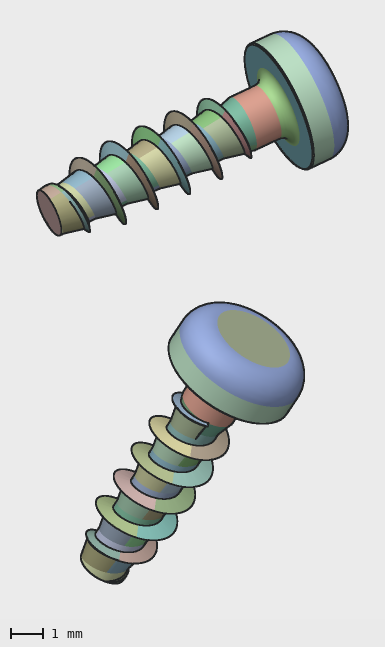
import cadquery as cq
import math

length = 9.6

head_radius = 2.1
head_height = 1.59
dome_radius = 0.84
head_edge_chamfer = 0.04
shank_radius = 0.89
neck_fillet = 0.4
shank_end = 2.86

core_radius = 0.72
shank_taper_length = 0.58

pitch = 1.12
lead_in_turns = 1.0
full_turns = 3.5
run_out_turns = 1.5
total_turns = lead_in_turns + full_turns + run_out_turns
points_per_turn = 16
section_turns = 0.5
start_crest_radius = 1.02
full_crest_radius = 1.26
end_crest_radius = 0.71
thread_start = 2.89
start_angle = -90.0

flank_width = 0.12
root_radius = 0.85
root_gap = 0.04
buried_radius = 0.68
inner_radius = 0.53


def make_body():
    """Revolved head, neck, shank and straight core, left one pitch too long for trimming."""
    dome_mid = dome_radius * (1 - math.sqrt(0.5))
    neck_mid = neck_fillet * (1 - math.sqrt(0.5))
    profile = (
        cq.Workplane("XZ")
        .lineTo(head_radius - dome_radius, 0)
        .threePointArc((head_radius - dome_mid, dome_mid), (head_radius, dome_radius))
        .lineTo(head_radius, head_height - head_edge_chamfer)
        .lineTo(head_radius - head_edge_chamfer, head_height)
        .lineTo(shank_radius + neck_fillet, head_height)
        .threePointArc(
            (shank_radius + neck_mid, head_height + neck_mid),
            (shank_radius, head_height + neck_fillet),
        )
        .lineTo(shank_radius, shank_end)
        .lineTo(core_radius, shank_end + shank_taper_length)
        .lineTo(core_radius, length + pitch)
        .lineTo(0, length + pitch)
        .close()
    )
    return profile.revolve(360, (0, 0, 0), (0, 1, 0)).val()


def crest_radius(turn):
    """Crest radius after a number of turns: rising, constant, then falling."""
    if turn < lead_in_turns:
        return start_crest_radius + (full_crest_radius - start_crest_radius) * turn / lead_in_turns
    run_out = max(0, turn - lead_in_turns - full_turns) / run_out_turns
    return full_crest_radius + (end_crest_radius - full_crest_radius) * run_out


def helix(radius_at, axial_offset, first_turn, turns):
    """Right-handed helix edge; radius_at gives the radius after a number of turns."""
    points = []
    for step in range(round(turns * points_per_turn) + 1):
        turn = first_turn + step / points_per_turn
        angle = math.radians(start_angle) + 2 * math.pi * turn
        radius = radius_at(turn)
        height = thread_start + axial_offset + pitch * turn
        points.append(cq.Vector(radius * math.cos(angle), radius * math.sin(angle), height))
    return cq.Edge.makeSpline(points)


def thread_section(first_turn, turns):
    """Length of thread with its sawtooth root, bounded by helical walls and two flat ends."""
    turn_end = pitch - flank_width - root_gap
    corners = [
        (lambda turn: inner_radius, -flank_width),
        (lambda turn: buried_radius, -flank_width),
        (crest_radius, 0),
        (lambda turn: min(root_radius, crest_radius(turn)), flank_width),
        (lambda turn: buried_radius, turn_end),
        (lambda turn: inner_radius, turn_end),
    ]
    edges = [helix(radius_at, axial, first_turn, turns) for radius_at, axial in corners]
    next_edges = edges[1:] + edges[:1]
    faces = [cq.Face.makeRuledSurface(first, second) for first, second in zip(edges, next_edges)]
    for end in (0, 1):
        points = [edge.positionAt(end) for edge in edges]
        faces.append(cq.Face.makeFromWires(cq.Wire.makePolygon(points, close=True)))
    return cq.Solid.makeSolid(cq.Shell.makeShell(faces)).fix()


screw = make_body()
for section in range(round(total_turns / section_turns)):
    screw = screw.fuse(thread_section(section * section_turns, section_turns))

screw = screw.intersect(cq.Solid.makeCylinder(length, length))

result = cq.Workplane(obj=screw).rotate((0, 0, 0), (1, 0, 0), 90).translate((0, length, 0))